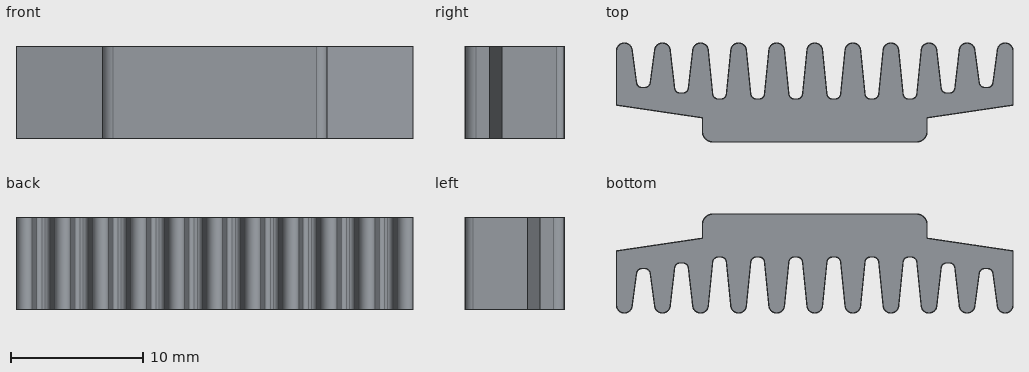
import cadquery as cq
import math

length = 30.0
depth = 7.5
height = 7.0

base_width = 17.0
base_corner_radius = 0.8
wing_root_y = 1.83
wing_end_y = 2.8

fin_count = 11
tip_radius = 0.6
gap_corner_radius = 0.4
gap_floor_flat = 0.25
outer_gap_floor = 4.15
second_gap_floor = 3.72
inner_gap_floor = 3.27

gap_count = fin_count - 1
fin_pitch = (length - 2 * tip_radius) / gap_count
first_fin_x = -length / 2 + tip_radius
tip_center_y = depth - tip_radius


def gap_floor(index):
    """Floor of a gap: the two gaps nearest each end are shallower."""
    steps_from_end = min(index, gap_count - 1 - index)
    if steps_from_end == 0:
        return outer_gap_floor
    if steps_from_end == 1:
        return second_gap_floor
    return inner_gap_floor


def add_gap(outline, index):
    """Continue the outline from one fin tip, through a gap, to the top of the next fin."""
    fin_x = first_fin_x + index * fin_pitch
    next_fin_x = fin_x + fin_pitch
    gap_x = fin_x + fin_pitch / 2
    floor_y = gap_floor(index)
    corner_center_y = floor_y + gap_corner_radius

    across = (fin_pitch - gap_floor_flat) / 2
    down = tip_center_y - corner_center_y
    wall_angle = math.atan2(across, down) - math.asin(
        (tip_radius + gap_corner_radius) / math.hypot(across, down)
    )
    normal_x = math.cos(wall_angle)
    normal_y = math.sin(wall_angle)
    wall_top_x = tip_radius * normal_x
    wall_top_y = tip_center_y + tip_radius * normal_y
    wall_foot_x = gap_floor_flat / 2 + gap_corner_radius * normal_x
    wall_foot_y = corner_center_y - gap_corner_radius * normal_y

    mid_angle = (math.pi / 2 + wall_angle) / 2
    arc_mid_x = tip_radius * math.cos(mid_angle)
    arc_mid_y = tip_center_y + tip_radius * math.sin(mid_angle)

    corner_mid_x = gap_floor_flat / 2 + gap_corner_radius * math.cos(mid_angle)
    corner_mid_y = corner_center_y - gap_corner_radius * math.sin(mid_angle)

    return (
        outline
        .threePointArc((fin_x + arc_mid_x, arc_mid_y), (fin_x + wall_top_x, wall_top_y))
        .lineTo(gap_x - wall_foot_x, wall_foot_y)
        .threePointArc((gap_x - corner_mid_x, corner_mid_y), (gap_x - gap_floor_flat / 2, floor_y))
        .lineTo(gap_x + gap_floor_flat / 2, floor_y)
        .threePointArc((gap_x + corner_mid_x, corner_mid_y), (gap_x + wall_foot_x, wall_foot_y))
        .lineTo(next_fin_x - wall_top_x, wall_top_y)
        .threePointArc((next_fin_x - arc_mid_x, arc_mid_y), (next_fin_x, depth))
    )


tip_diagonal = tip_radius * math.sqrt(0.5)
outline = (
    cq.Workplane("XY")
    .moveTo(-length / 2, wing_end_y)
    .lineTo(-length / 2, tip_center_y)
    .threePointArc((first_fin_x - tip_diagonal, tip_center_y + tip_diagonal), (first_fin_x, depth))
)
for gap_index in range(gap_count):
    outline = add_gap(outline, gap_index)

finned_body = (
    outline
    .threePointArc((-first_fin_x + tip_diagonal, tip_center_y + tip_diagonal), (length / 2, tip_center_y))
    .lineTo(length / 2, wing_end_y)
    .lineTo(base_width / 2, wing_root_y)
    .lineTo(base_width / 2, 0)
    .lineTo(-base_width / 2, 0)
    .lineTo(-base_width / 2, wing_root_y)
    .close()
    .extrude(height)
)

result = finned_body.edges("|Z and <Y").fillet(base_corner_radius)